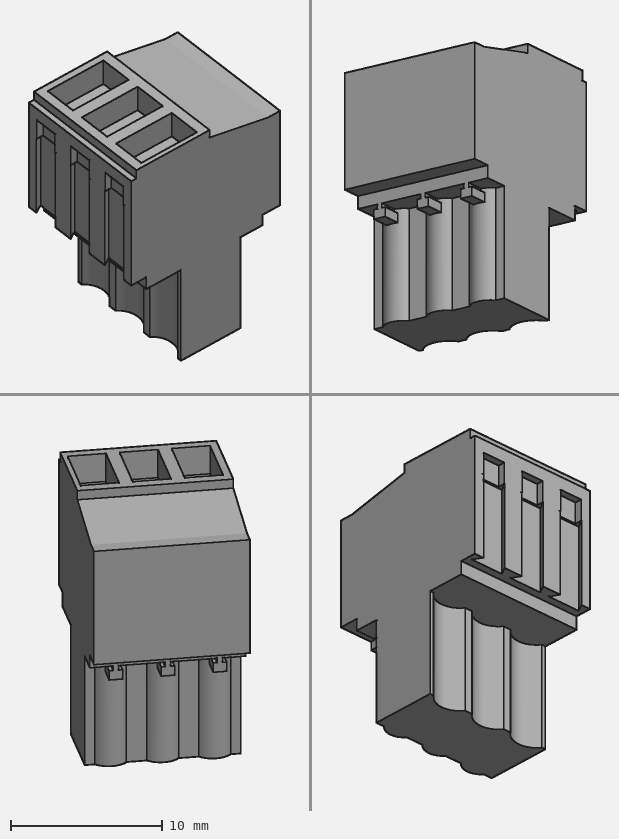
import cadquery as cq
import math

pole_count = 3
pitch = 3.5
width = pole_count * pitch
pole_centres = [(i + 0.5) * pitch for i in range(pole_count)]

height = 18.7
front_shoulder_z = height - 0.71
ramp_top_z = height - 0.65
back_shoulder_z = height - 1.7
front_underside_z = 8.92
back_underside_z = 8.79
ledge_underside_z = 7.9

depth = 12.9
crown_front_y = 0.45
crown_back_y = 6.79
ramp_end_y = depth - 1.07
ledge_front_y = 1.3
ledge_back_y = 11.37
plug_front_y = 4.3
plug_back_y = 9.48

flute_radius = pitch / 2
flute_axis_offset = 1.01
lobe_radius = 1.4
lobe_rise = 0.49

key_bottom_z = 6.9
key_neck_bottom_z = 7.57
key_head_width = 0.9
key_neck_width = 0.37

groove_mouth_width = 1.93
groove_depth = 0.7
groove_flare_angle = 30.0
groove_top_z = 15.37
window_width = 1.85
window_depth = 0.55
window_top_z = 17.0

pocket_width = 2.58
pocket_length = 4.82
pocket_front_y = 1.18
pocket_depth = 2.04
pocket_x_shift = 0.1
pocket_back_y = pocket_front_y + pocket_length
contact_height = pocket_length
contact_top_z = height - pocket_depth
contact_bottom_z = contact_top_z - contact_height


def box(x_centre, x_size, y_min, y_max, z_min, z_max):
    """Block centred on x_centre that fills the given Y and Z ranges."""
    block = cq.Workplane("XY").box(x_size, y_max - y_min, z_max - z_min, centered=(True, False, False))
    return block.translate((x_centre, y_min, z_min))


def housing_blank():
    """Side profile extruded over the full width."""
    profile = [
        (plug_front_y, 0),
        (plug_back_y, 0),
        (plug_back_y, ledge_underside_z),
        (ledge_back_y, ledge_underside_z),
        (ledge_back_y, back_underside_z),
        (depth, back_underside_z),
        (depth, back_shoulder_z),
        (ramp_end_y, back_shoulder_z),
        (crown_back_y, ramp_top_z),
        (crown_back_y, height),
        (crown_front_y, height),
        (crown_front_y, front_shoulder_z),
        (0, front_shoulder_z),
        (0, front_underside_z),
        (ledge_front_y, front_underside_z),
        (ledge_front_y, ledge_underside_z),
        (plug_front_y, ledge_underside_z),
    ]
    return cq.Workplane("YZ").polyline(profile).close().extrude(width)


def plug_cylinder(x, y, radius):
    """Upright cylinder as tall as the plug, up to the underside of the ledge."""
    return cq.Workplane("XY").center(x, y).circle(radius).extrude(ledge_underside_z)


def key(x):
    """T-shaped key that runs from inside the plug to the back of the ledge."""
    head = box(x, key_head_width, plug_back_y, ledge_back_y, key_bottom_z, key_neck_bottom_z)
    neck = box(x, key_neck_width, plug_back_y, ledge_back_y, key_neck_bottom_z, ledge_underside_z)
    return head.union(neck)


def dovetail_groove(x):
    """Groove that widens away from the front face."""
    mouth = groove_mouth_width / 2
    floor = mouth + groove_depth * math.tan(math.radians(groove_flare_angle))
    section = [
        (x - mouth, 0),
        (x + mouth, 0),
        (x + floor, groove_depth),
        (x - floor, groove_depth),
    ]
    groove = cq.Workplane("XY").workplane(offset=front_underside_z).polyline(section).close()
    return groove.extrude(groove_top_z - front_underside_z)


def window(x):
    """Shallow rectangular recess above the groove."""
    return box(x, window_width, 0, window_depth, groove_top_z, window_top_z)


def pocket_block(x, z_min, z_max):
    """Block with the section of a wire pocket."""
    return box(x + pocket_x_shift, pocket_width, pocket_front_y, pocket_back_y, z_min, z_max)


def contact(x):
    """Contact block seated in the lower part of its pocket."""
    return pocket_block(x, contact_bottom_z, contact_top_z)


housing = housing_blank()
for x in pole_centres:
    housing = housing.union(plug_cylinder(x, plug_back_y + lobe_rise - lobe_radius, lobe_radius))
    housing = housing.union(key(x))
for x in pole_centres:
    housing = housing.cut(plug_cylinder(x, plug_front_y - flute_axis_offset, flute_radius))
    housing = housing.cut(dovetail_groove(x)).cut(window(x))
    housing = housing.cut(pocket_block(x, contact_bottom_z, height))

contacts = [contact(x) for x in pole_centres]

result = cq.Compound.makeCompound([housing.val(), *[block.val() for block in contacts]])